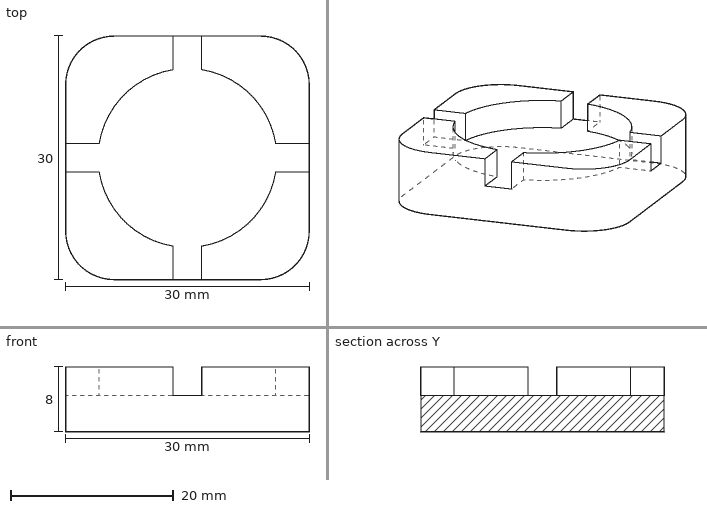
import cadquery as cq

side = 30.0
height = 8.0
corner_radius = 6.0

pocket_diameter = 22.0
slot_width = 3.5
recess_depth = 3.5
floor_height = height - recess_depth


def make_block():
    """Square block with rounded vertical corners, standing on Z = 0."""
    block = cq.Workplane("XY").rect(side, side).extrude(height)
    return block.edges("|Z").fillet(corner_radius)


def make_pocket():
    """Central round recess, open at the top."""
    floor = cq.Workplane("XY").workplane(offset=floor_height)
    return floor.circle(pocket_diameter / 2).extrude(recess_depth)


def make_slot(length_x, length_y):
    """Straight slot through the centre, open at the top."""
    floor = cq.Workplane("XY").workplane(offset=floor_height)
    return floor.rect(length_x, length_y).extrude(recess_depth)


result = make_block().cut(make_pocket())
for length_x, length_y in ((side, slot_width), (slot_width, side)):
    result = result.cut(make_slot(length_x, length_y))